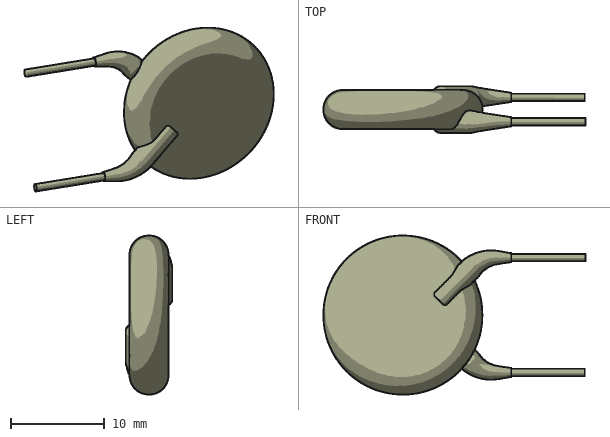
import cadquery as cq
import math

length = 27.98
disc_radius = 8.492
disc_thickness = 4.2

lead_diameter = 0.8
lead_offset_y = 1.3
lead_offset_z = 6.13
lead_end_x = length - disc_radius
back_lead_shortening = 0.08
front_lead_end_fillet = 0.08

sleeve_radius = 1.2
sleeve_tip_x = 3.83
sleeve_tip_z = 1.57
sleeve_tip_fillet = 0.25
sleeve_angle = 45.0
taper_start_x = 7.27
sleeve_end_x = 11.53
sleeve_end_radius = 0.5

slope = math.radians(sleeve_angle)
taper_start_z = sleeve_tip_z + (taper_start_x - sleeve_tip_x) * math.tan(slope)
straight_length = (taper_start_x - sleeve_tip_x) / math.cos(slope)

bend_radius = (lead_offset_z - taper_start_z) / (1 - math.cos(slope))
bend_end_x = taper_start_x + bend_radius * math.sin(slope)
bend_center_z = lead_offset_z - bend_radius


def make_disc():
    """Flat disc with a fully rounded rim, its axis along Y."""
    rim_radius = disc_thickness / 2
    flat_radius = disc_radius - rim_radius
    profile = (
        cq.Workplane("XY")
        .moveTo(0, -rim_radius)
        .lineTo(flat_radius, -rim_radius)
        .threePointArc((disc_radius, 0), (flat_radius, rim_radius))
        .lineTo(0, rim_radius)
        .close()
    )
    return profile.revolve(360, (0, 0, 0), (0, 1, 0))


def make_straight_sleeve():
    """Sloped cylinder with a rounded tip, partly sunk in the disc."""
    plane = cq.Plane(
        origin=(sleeve_tip_x, -lead_offset_y, sleeve_tip_z),
        xDir=(0, 1, 0),
        normal=(math.cos(slope), 0, math.sin(slope)),
    )
    cylinder = cq.Workplane(plane).circle(sleeve_radius).extrude(straight_length)
    return cylinder.faces("<X").edges().fillet(sleeve_tip_fillet)


def make_tapered_sleeve():
    """Bend from the sloped cylinder to the lead, tapering along the way."""
    bend_length = bend_radius * slope
    taper_length = bend_length + sleeve_end_x - bend_end_x

    def section(distance):
        """Circle across the sleeve at a distance along its axis."""
        angle = max(slope - distance / bend_radius, 0)
        if distance < bend_length:
            x = bend_end_x - bend_radius * math.sin(angle)
        else:
            x = bend_end_x + distance - bend_length
        z = bend_center_z + bend_radius * math.cos(angle)
        radius = sleeve_radius + (sleeve_end_radius - sleeve_radius) * distance / taper_length
        return cq.Wire.makeCircle(
            radius, cq.Vector(x, -lead_offset_y, z), cq.Vector(math.cos(angle), 0, math.sin(angle))
        )

    bend_steps = 4
    distances = [bend_length * step / bend_steps for step in range(bend_steps + 1)]
    distances.append(taper_length)
    return cq.Workplane(cq.Solid.makeLoft([section(distance) for distance in distances]))


def make_lead(end_x):
    """Straight wire running from the end of its sleeve."""
    return (
        cq.Workplane("YZ", origin=(sleeve_end_x, -lead_offset_y, lead_offset_z))
        .circle(lead_diameter / 2)
        .extrude(end_x - sleeve_end_x)
    )


sleeve = make_straight_sleeve().union(make_tapered_sleeve())
front_lead = make_lead(lead_end_x).faces(">X").edges().fillet(front_lead_end_fillet)
front_terminal = sleeve.union(front_lead)

back_terminal = sleeve.union(make_lead(lead_end_x - back_lead_shortening))
back_terminal = back_terminal.rotate((0, 0, 0), (1, 0, 0), 180)

result = make_disc().union(front_terminal).union(back_terminal)